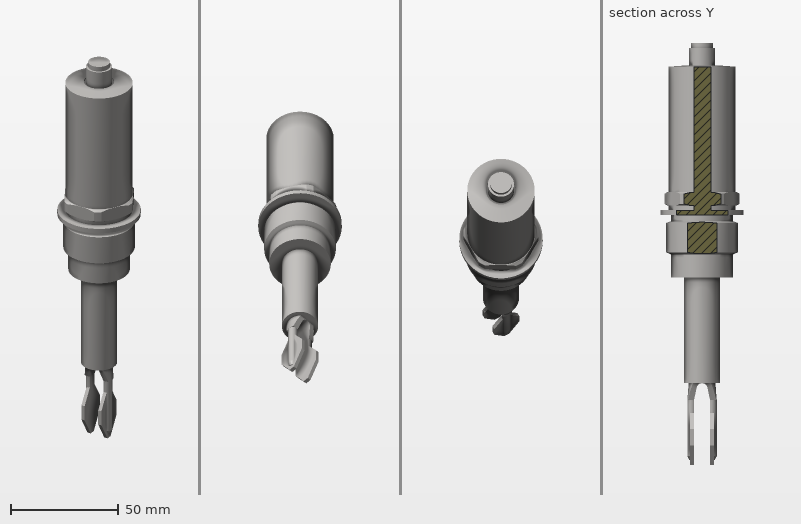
import cadquery as cq
import math

overall_length = 196.9
connector_shoulder_z = 194.5
body_top_z = 185.9
hex_top_z = 127.4
hex_bottom_z = 121.0
flange_top_z = 119.0
flange_bottom_z = 116.5
thread_top_z = 113.0
thread_bottom_z = 99.2
spigot_bottom_z = 87.5
stem_bottom_z = 38.2
neck_bottom_z = 30.3

tip_radius = 5.1
connector_radius = 6.1
recess_radius = 7.0
body_radius = 15.8
flange_radius = 19.5
thread_radius = 16.7
spigot_radius = 14.4
stem_radius = 8.5

crown_rise = 0.5
recess_depth = 0.5

thread_top_chamfer = 0.8
thread_bottom_chamfer = 1.0

hex_across_flats = 31.9
hex_corner_radius = 17.5
hex_end_radius = 16.1
hex_chamfer_height = 0.8

tine_inner_x = 3.7
tine_outer_x = 6.9
rod_radius = 2.2
rod_taper_top_z = 4.1
rod_end_z = 2.4
rod_end_radius = 1.2
neck_top_radius = 6.3
neck_top_half_width = 4.7
arch_radius = 2.5
blade_thickness = 1.8
blade_top_z = 24.5
blade_wide_top_z = 16.7
blade_wide_bottom_z = 9.3
blade_half_width = 6.7
blade_tip_half_width = 1.4


def revolve_profile(points):
    """Solid of revolution about Z from (radius, height) points."""
    return cq.Workplane("XZ").polyline(points).close().revolve(360, (0, 0, 0), (0, 1, 0))


def make_housing():
    """Connector and cylindrical body above the hexagon."""
    crown_z = body_top_z + crown_rise
    recess_z = crown_z - recess_depth
    return revolve_profile([
        (0, hex_top_z),
        (body_radius, hex_top_z),
        (body_radius, body_top_z),
        (recess_radius, crown_z),
        (recess_radius, recess_z),
        (connector_radius, recess_z),
        (connector_radius, connector_shoulder_z),
        (tip_radius, connector_shoulder_z),
        (tip_radius, overall_length),
        (0, overall_length),
    ])


def make_hexagon():
    """Hexagon with rounded corners and conical chamfers; two flats face +Y and -Y."""
    across_corners = hex_across_flats / math.cos(math.radians(30))
    prism = (
        cq.Workplane("XY", origin=(0, 0, hex_bottom_z))
        .polygon(6, across_corners)
        .extrude(hex_top_z - hex_bottom_z)
    )
    envelope = revolve_profile([
        (0, hex_bottom_z),
        (hex_end_radius, hex_bottom_z),
        (hex_corner_radius, hex_bottom_z + hex_chamfer_height),
        (hex_corner_radius, hex_top_z - hex_chamfer_height),
        (hex_end_radius, hex_top_z),
        (0, hex_top_z),
    ])
    return prism.intersect(envelope)


def make_process_fitting():
    """Collar, flange, thread, spigot and stem below the hexagon."""
    return revolve_profile([
        (0, hex_bottom_z),
        (body_radius, hex_bottom_z),
        (body_radius, flange_top_z),
        (flange_radius, flange_top_z),
        (flange_radius, flange_bottom_z),
        (spigot_radius, flange_bottom_z),
        (spigot_radius, thread_top_z + thread_top_chamfer),
        (thread_radius, thread_top_z),
        (thread_radius, thread_bottom_z),
        (spigot_radius, thread_bottom_z - thread_bottom_chamfer),
        (spigot_radius, spigot_bottom_z),
        (stem_radius, spigot_bottom_z),
        (stem_radius, stem_bottom_z),
        (0, stem_bottom_z),
    ])


def make_fork_neck():
    """Two tapering roots under the stem, parted by a round-topped arch."""
    cone = revolve_profile([
        (0, neck_bottom_z),
        (tine_outer_x, neck_bottom_z),
        (neck_top_radius, stem_bottom_z),
        (0, stem_bottom_z),
    ])
    side_taper = (
        cq.Workplane("YZ")
        .polyline([
            (-rod_radius, neck_bottom_z),
            (rod_radius, neck_bottom_z),
            (neck_top_half_width, stem_bottom_z),
            (-neck_top_half_width, stem_bottom_z),
        ])
        .close()
        .extrude(tine_outer_x, both=True)
    )

    arch_center_z = stem_bottom_z - arch_radius
    foot_drop = arch_center_z - neck_bottom_z
    foot_distance = math.hypot(tine_inner_x, foot_drop)
    lean = math.acos(arch_radius / foot_distance) - math.atan2(foot_drop, tine_inner_x)
    tangent_x = arch_radius * math.cos(lean)
    tangent_z = arch_center_z + arch_radius * math.sin(lean)
    arch = (
        cq.Workplane("XZ")
        .moveTo(-tine_inner_x, neck_bottom_z)
        .lineTo(-tangent_x, tangent_z)
        .threePointArc((0, stem_bottom_z), (tangent_x, tangent_z))
        .lineTo(tine_inner_x, neck_bottom_z)
        .close()
        .extrude(tine_outer_x, both=True)
    )
    return cone.intersect(side_taper).cut(arch)


def make_right_tine():
    """Tine on the +X side: a round rod with a conical end, flat inside, carrying a paddle blade."""
    rod_axis_x = tine_outer_x - rod_radius
    round_rod = revolve_profile([
        (0, rod_end_z),
        (rod_end_radius, rod_end_z),
        (rod_radius, rod_taper_top_z),
        (rod_radius, neck_bottom_z),
        (0, neck_bottom_z),
    ]).translate((rod_axis_x, 0, 0))
    outer_side = (
        cq.Workplane("YZ", origin=(tine_inner_x, 0, 0))
        .rect(2 * flange_radius, 2 * overall_length)
        .extrude(tine_outer_x)
    )
    rod = round_rod.intersect(outer_side)
    blade_edge = [
        (blade_tip_half_width, 0),
        (blade_half_width, blade_wide_bottom_z),
        (blade_half_width, blade_wide_top_z),
        (rod_radius, blade_top_z),
    ]
    opposite_edge = [(-y, z) for y, z in reversed(blade_edge)]
    blade = (
        cq.Workplane("YZ", origin=(tine_inner_x, 0, 0))
        .polyline(blade_edge + opposite_edge)
        .close()
        .extrude(blade_thickness)
    )
    return rod.union(blade)


right_tine = make_right_tine()
left_tine = right_tine.mirror("YZ")

result = (
    make_housing()
    .union(make_hexagon())
    .union(make_process_fitting())
    .union(make_fork_neck())
    .union(right_tine)
    .union(left_tine)
)